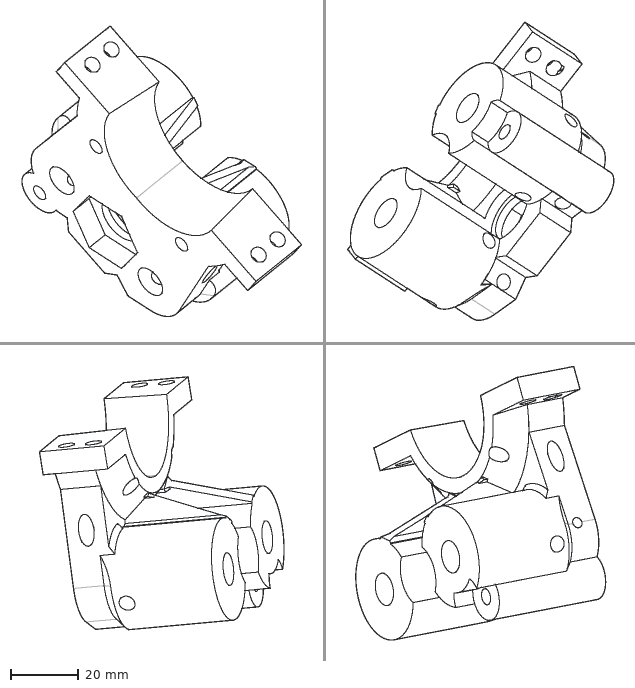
import cadquery as cq
import math

TILT = 28.2

PLATE_DEPTH = 12.7
CLAMP_DEPTH = 20.32
SLEEVE_END = 44.83
BOSS_END = 38.1
FRONT_HOLE_Y = 6.38
REAR_HOLE_Y = 16.7

ROD_X = 20.0
ROD_Z = 0.68
ROD_BORE = 9.75
SLEEVE_RADIUS = 15.3
LOBE_RADIUS = 12.3
SLEEVE_CHAMFER_START = 9.65
SLEEVE_FLARE = 1.55

TAB_HALF_SPAN = 43.3
TAB_TOP = 46.4
TAB_THICKNESS = 7.1
TAB_BOTTOM = TAB_TOP - TAB_THICKNESS
TAB_HOLE_X = 37.58
TAB_HOLE_DEPTHS = (6.8, 15.28)
SEAT_RADIUS = 21.2
SEAT_REAR_Z = 47.93
SEAT_FRONT_SPREAD = 1.9
SEAT_FRONT_Z = 47.45
MOTOR_Z = 48.7
SHOULDER_RADIUS = 34.2
SHOULDER_BOTTOM = (29.72, 31.5)
MOTOR_SCREW_X = 19.35
MOTOR_SCREW_Z = 28.25

FOOT_ANGLE = -90 + TILT
FOOT_LENGTH = 8.95
NOTCH = (11.3, -11.2)
NUT_LAND = (8.2, -15.8)

NUT_FLATS = 22.22
NUT_DEPTH = 7.1
SCREW_BORE = 15.24
SCREW_CLEARANCE = 19.0
CLEARANCE_START = 9.6

BOSS_X = -22.45
BOSS_Z = -13.5
BOSS_RADIUS = 7.1
RELIEF_TUBE_RADIUS = 10.95

LEFT_RIB_ANGLE = 60.5
RIGHT_RIB_ANGLE = 120
RIB_WIDTH = 2.95
RIB_REACH = 25.2
RIB_STEP = 0.5
RIB_FLARE = 1.3

SCREW_HOLE = 4.83
PIN_DIAMETER = 3.17
FRONT_HOLE_ANGLE = 64.7
RIGHT_FRONT_HOLE_OFFSET = -2.1
REAR_HOLE_ANGLES = (220, 343)

LEFT = -1
RIGHT = 1


def polar(center, radius, angle):
    turn = math.radians(angle)
    return (center[0] + radius * math.cos(turn), center[1] + radius * math.sin(turn))


def mirrored(point):
    return (-point[0], point[1])


def profile_plane(y):
    """Sketch plane facing -Y at depth y; extrude by a negative length to go deeper."""
    return cq.Workplane("XZ", origin=(0, y, 0))


def rod(x, z, radius, start, end):
    return profile_plane(start).center(x, z).circle(radius).extrude(start - end)


def cone(x, z, start_radius, end_radius, start, end):
    solid = cq.Solid.makeCone(
        start_radius, end_radius, end - start, cq.Vector(x, start, z), cq.Vector(0, 1, 0)
    )
    return cq.Workplane(solid)


def radial_rod(side, angle, y, diameter, start, end, offset=0):
    """Cylinder square to a rod axis, from start to end along its own axis.

    The offset shifts it sideways, anticlockwise as seen from the front.
    """
    direction = polar((0, 0), 1, angle)
    base = polar((side * ROD_X, ROD_Z), start, angle)
    base = polar(base, offset, angle + 90)
    solid = cq.Solid.makeCylinder(
        diameter / 2,
        end - start,
        cq.Vector(base[0], y, base[1]),
        cq.Vector(direction[0], 0, direction[1]),
    )
    return cq.Workplane(solid)


ROD_CENTER = (ROD_X, ROD_Z)
shoulder_dx = SHOULDER_BOTTOM[0] - ROD_X
shoulder_dz = SHOULDER_BOTTOM[1] - ROD_Z
shoulder_distance = math.hypot(shoulder_dx, shoulder_dz)
FLANK_ANGLE = math.degrees(
    math.atan2(shoulder_dz, shoulder_dx) - math.acos(LOBE_RADIUS / shoulder_distance)
)
LOBE_MIDDLE_ANGLE = (FLANK_ANGLE + FOOT_ANGLE) / 2


def plate_outline(depth):
    shoulder_top_x = math.sqrt(SHOULDER_RADIUS**2 - (MOTOR_Z - TAB_BOTTOM) ** 2)
    shoulder_top = (shoulder_top_x, TAB_BOTTOM)
    shoulder_angle = math.degrees(
        math.atan2(TAB_BOTTOM - MOTOR_Z, shoulder_top_x)
        + math.atan2(SHOULDER_BOTTOM[1] - MOTOR_Z, SHOULDER_BOTTOM[0])
    ) / 2
    shoulder_middle = polar((0, MOTOR_Z), SHOULDER_RADIUS, shoulder_angle)
    lobe_start = polar(ROD_CENTER, LOBE_RADIUS, FLANK_ANGLE)
    lobe_middle = polar(ROD_CENTER, LOBE_RADIUS, LOBE_MIDDLE_ANGLE)
    lobe_end = polar(ROD_CENTER, LOBE_RADIUS, FOOT_ANGLE)
    foot_end = polar(lobe_end, FOOT_LENGTH, FOOT_ANGLE - 90)
    return (
        profile_plane(0)
        .moveTo(-TAB_HALF_SPAN, TAB_TOP)
        .lineTo(TAB_HALF_SPAN, TAB_TOP)
        .lineTo(TAB_HALF_SPAN, TAB_BOTTOM)
        .lineTo(*shoulder_top)
        .threePointArc(shoulder_middle, SHOULDER_BOTTOM)
        .lineTo(*lobe_start)
        .threePointArc(lobe_middle, lobe_end)
        .lineTo(*foot_end)
        .lineTo(*NOTCH)
        .lineTo(*NUT_LAND)
        .lineTo(*mirrored(NUT_LAND))
        .lineTo(*mirrored(NOTCH))
        .lineTo(*mirrored(foot_end))
        .lineTo(*mirrored(lobe_end))
        .threePointArc(mirrored(lobe_middle), mirrored(lobe_start))
        .lineTo(*mirrored(SHOULDER_BOTTOM))
        .threePointArc(mirrored(shoulder_middle), mirrored(shoulder_top))
        .lineTo(-TAB_HALF_SPAN, TAB_BOTTOM)
        .close()
        .extrude(-depth)
    )


def clamp_block():
    """Thick upper part: full-depth tabs and a shoulder that tapers at 45 degrees to the back."""
    tabs = (
        profile_plane(0)
        .center(0, TAB_TOP - TAB_THICKNESS / 2)
        .rect(2 * TAB_HALF_SPAN, TAB_THICKNESS)
        .extrude(-CLAMP_DEPTH)
    )
    taper = CLAMP_DEPTH - PLATE_DEPTH
    shoulder = cone(
        0, MOTOR_Z, SHOULDER_RADIUS, SHOULDER_RADIUS - taper, PLATE_DEPTH, CLAMP_DEPTH
    )
    return tabs.union(shoulder.intersect(plate_outline(CLAMP_DEPTH)))


def lobe_wire(plane, radius):
    """Plate lobe round the right rod at a given radius, closed off inside the plate."""
    start = polar(ROD_CENTER, radius, FLANK_ANGLE)
    end = polar(ROD_CENTER, radius, FOOT_ANGLE)
    return (
        plane.moveTo(*polar(start, 2 * SLEEVE_RADIUS, FLANK_ANGLE + 90))
        .lineTo(*start)
        .threePointArc(polar(ROD_CENTER, radius, LOBE_MIDDLE_ANGLE), end)
        .lineTo(*polar(end, FOOT_LENGTH, FOOT_ANGLE - 90))
        .close()
    )


def sleeve_chamfer():
    """45 degree transition from the plate lobe out to the right sleeve."""
    rise = PLATE_DEPTH - SLEEVE_CHAMFER_START
    front = lobe_wire(profile_plane(SLEEVE_CHAMFER_START), LOBE_RADIUS)
    flared = lobe_wire(front.workplane(offset=-rise), LOBE_RADIUS + rise).loft(ruled=True)
    return flared.intersect(rod(ROD_X, ROD_Z, SLEEVE_RADIUS, SLEEVE_CHAMFER_START, PLATE_DEPTH))


def rib(side, angle):
    """Gusset sloping from the rear end of a sleeve down to a flared foot at the motor seat."""
    half_width = RIB_WIDTH / 2
    slope = (
        cq.Workplane("XY")
        .moveTo(0, PLATE_DEPTH)
        .lineTo(RIB_REACH, PLATE_DEPTH)
        .lineTo(RIB_REACH, CLAMP_DEPTH)
        .lineTo(SLEEVE_RADIUS + RIB_STEP, SLEEVE_END)
        .lineTo(0, SLEEVE_END)
        .close()
        .extrude(SLEEVE_RADIUS, both=True)
    )
    web = (
        cq.Workplane("YZ", origin=(LOBE_RADIUS, 0, 0))
        .moveTo(PLATE_DEPTH, -half_width)
        .lineTo(SLEEVE_END, -half_width)
        .lineTo(SLEEVE_END, half_width)
        .lineTo(PLATE_DEPTH, half_width)
        .close()
        .extrude(RIB_REACH - LOBE_RADIUS)
    )
    foot = (
        cq.Workplane("YZ", origin=(RIB_REACH - RIB_FLARE, 0, 0))
        .moveTo(PLATE_DEPTH, half_width + RIB_FLARE)
        .lineTo(CLAMP_DEPTH, half_width + RIB_FLARE)
        .lineTo(CLAMP_DEPTH + RIB_FLARE, half_width)
        .lineTo(CLAMP_DEPTH + RIB_FLARE, -half_width)
        .lineTo(CLAMP_DEPTH, -half_width - RIB_FLARE)
        .lineTo(PLATE_DEPTH, -half_width - RIB_FLARE)
        .close()
        .extrude(RIB_FLARE)
    )
    web = web.union(foot)
    if side == RIGHT:
        web = web.union(rib_root(half_width))
    upright = web.intersect(slope).rotate((0, 0, 0), (0, 1, 0), -angle)
    return upright.translate((side * ROD_X, 0, ROD_Z))


def rib_root(half_width):
    """Chamfered root along the sleeve for a rib lying along +X."""
    return (
        profile_plane(PLATE_DEPTH)
        .moveTo(LOBE_RADIUS, -half_width - RIB_FLARE)
        .lineTo(SLEEVE_RADIUS, -half_width - RIB_FLARE)
        .lineTo(SLEEVE_RADIUS + RIB_FLARE, -half_width)
        .lineTo(SLEEVE_RADIUS + RIB_FLARE, half_width)
        .lineTo(SLEEVE_RADIUS, half_width + RIB_FLARE)
        .lineTo(LOBE_RADIUS, half_width + RIB_FLARE)
        .close()
        .extrude(PLATE_DEPTH - SLEEVE_END)
    )


def right_sleeve():
    """Round sleeve with its front chamfer and, on the outer side, a flare onto the plate."""
    sleeve = rod(ROD_X, ROD_Z, SLEEVE_RADIUS, PLATE_DEPTH, SLEEVE_END)
    flare = cone(
        ROD_X,
        ROD_Z,
        SLEEVE_RADIUS + SLEEVE_FLARE,
        SLEEVE_RADIUS,
        PLATE_DEPTH,
        PLATE_DEPTH + SLEEVE_FLARE,
    )
    outer_side = cq.Workplane("XY").box(
        2 * SLEEVE_RADIUS, CLAMP_DEPTH, 2 * SLEEVE_RADIUS, centered=(False, False, False)
    ).translate((ROD_X, 0, ROD_Z))
    flare = flare.intersect(outer_side).intersect(plate_outline(CLAMP_DEPTH))
    return sleeve.union(flare).union(sleeve_chamfer())


def motor_seat():
    """Two round cuts that coincide at the back and spread apart towards the front."""
    def slanted_cut(side):
        return (
            profile_plane(0)
            .center(side * SEAT_FRONT_SPREAD, SEAT_FRONT_Z)
            .circle(SEAT_RADIUS)
            .workplane(offset=-CLAMP_DEPTH)
            .center(-side * SEAT_FRONT_SPREAD, SEAT_REAR_Z - SEAT_FRONT_Z)
            .circle(SEAT_RADIUS)
            .loft(ruled=True)
        )

    return slanted_cut(LEFT).union(slanted_cut(RIGHT))


def boss_relief():
    """Room behind the boss, cut into the left sleeve but sparing a tube round the rod."""
    relief = rod(BOSS_X, BOSS_Z, BOSS_RADIUS, BOSS_END, SLEEVE_END)
    return relief.cut(rod(-ROD_X, ROD_Z, RELIEF_TUBE_RADIUS, BOSS_END, SLEEVE_END))


def axial_holes():
    holes = rod(BOSS_X, BOSS_Z, SCREW_HOLE / 2, 0, SLEEVE_END)
    for side in (LEFT, RIGHT):
        holes = holes.union(rod(side * ROD_X, ROD_Z, ROD_BORE / 2, 0, SLEEVE_END))
        holes = holes.union(
            rod(side * MOTOR_SCREW_X, MOTOR_SCREW_Z, SCREW_HOLE / 2, 0, SLEEVE_END)
        )
    return holes


def tab_holes():
    return (
        cq.Workplane("XY", origin=(0, 0, TAB_BOTTOM))
        .pushPoints([(side * TAB_HOLE_X, y) for side in (LEFT, RIGHT) for y in TAB_HOLE_DEPTHS])
        .circle(SCREW_HOLE / 2)
        .extrude(TAB_THICKNESS)
    )


def cross_holes():
    """Front holes run right across the rod bores; rear holes stop at the bores."""
    reach = TAB_HALF_SPAN
    rear_holes = cq.Workplane()
    for angle in REAR_HOLE_ANGLES:
        rear_holes = rear_holes.add(
            radial_rod(RIGHT, angle, REAR_HOLE_Y, SCREW_HOLE, 0, SLEEVE_RADIUS + 1)
        )
    rear_holes = rear_holes.combine()
    left_front = radial_rod(LEFT, 180 - FRONT_HOLE_ANGLE, FRONT_HOLE_Y, SCREW_HOLE, -reach, reach)
    right_front = radial_rod(
        RIGHT,
        FRONT_HOLE_ANGLE,
        FRONT_HOLE_Y,
        SCREW_HOLE,
        -reach,
        reach,
        RIGHT_FRONT_HOLE_OFFSET,
    )
    return left_front.union(right_front).union(rear_holes).union(rear_holes.mirror("YZ"))


def nut_pocket():
    across_corners = NUT_FLATS / math.cos(math.radians(30))
    pocket = profile_plane(0).polygon(6, across_corners).extrude(-NUT_DEPTH)
    pocket = pocket.rotate((0, 0, 0), (0, 1, 0), -TILT)
    pocket = pocket.union(rod(0, 0, SCREW_BORE / 2, 0, CLEARANCE_START))
    return pocket.union(rod(0, 0, SCREW_CLEARANCE / 2, CLEARANCE_START, SLEEVE_END))


def make_pin():
    """Pin plugging the radial hole in the left flank, flush with the flank and the rod bore."""
    pin = radial_rod(LEFT, 180 - FLANK_ANGLE, FRONT_HOLE_Y, PIN_DIAMETER, 0, LOBE_RADIUS)
    return pin.cut(rod(-ROD_X, ROD_Z, ROD_BORE / 2, 0, SLEEVE_END))


def make_bracket():
    """Plate, thick upper part, sleeves, ribs and boss, with all holes cut."""
    sleeve = right_sleeve()
    bracket = plate_outline(PLATE_DEPTH).union(clamp_block())
    bracket = bracket.union(sleeve).union(sleeve.mirror("YZ"))
    bracket = bracket.union(rib(LEFT, LEFT_RIB_ANGLE)).union(rib(RIGHT, RIGHT_RIB_ANGLE))
    bracket = bracket.cut(boss_relief())
    bracket = bracket.union(rod(BOSS_X, BOSS_Z, BOSS_RADIUS, 0, BOSS_END))
    for cutter in (motor_seat(), axial_holes(), tab_holes(), cross_holes(), nut_pocket()):
        bracket = bracket.cut(cutter)
    return bracket


def installed(body):
    return body.rotate((0, 0, 0), (0, 1, 0), TILT)


pin = make_pin()
bracket = make_bracket().cut(pin)
result = cq.Compound.makeCompound([installed(bracket).val(), installed(pin).val()])